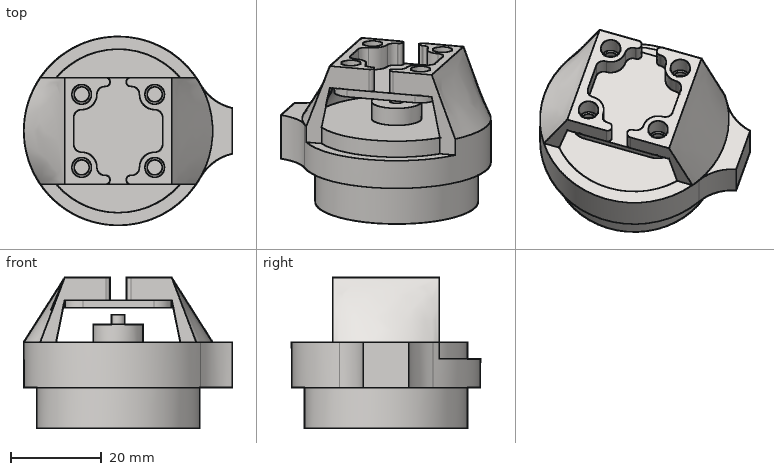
import cadquery as cq
import math

can_radius = 36.0 / 2
can_height = 19.0
pilot_diameter = 11.0
pilot_height = 3.9
shaft_diameter = 3.0
shaft_height = 2.1

collar_outer_radius = 41.6 / 2
collar_bottom = 9.0
collar_top = can_height
notch_floor = 15.35

tab_reach = 45.9 - collar_outer_radius
tab_half_width = 5.05
tab_root_x = 18.1

bridge_size = 23.5
bridge_half = bridge_size / 2
bridge_top = 33.25
bridge_underside = 28.25

screw_offset = 8.05
screw_clearance_diameter = 4.3
boss_radius = 3.35
opening_fillet = 1.75
opening_half = screw_offset + opening_fillet
gap_half = 1.8

plate_thickness = 1.7
plate_corner_radius = 3.95
plate_hole_diameter = 3.3

screw_points = [(sx * screw_offset, sy * screw_offset) for sx in (-1, 1) for sy in (-1, 1)]


def make_motor():
    """Can, pilot boss and shaft stacked along one axis."""
    can = cq.Workplane("XY").circle(can_radius).extrude(can_height)
    pilot = can.faces(">Z").workplane().circle(pilot_diameter / 2).extrude(pilot_height)
    return pilot.faces(">Z").workplane().circle(shaft_diameter / 2).extrude(shaft_height)


def flare_sagitta(root_y):
    """Bulge of the arc that leaves the collar circle along its tangent."""
    run = tab_reach - tab_root_x
    drop = root_y - tab_half_width
    tangent_angle = math.atan2(tab_root_x, root_y) - math.atan2(drop, run)
    return math.hypot(run, drop) / 2 * math.tan(tangent_angle / 2)


def make_tab():
    """Tab whose sides flare into the collar with arcs tangent to its outer circle."""
    root_y = math.sqrt(collar_outer_radius**2 - tab_root_x**2)
    sagitta = flare_sagitta(root_y)
    return (
        cq.Workplane("XY", origin=(0, 0, collar_bottom))
        .moveTo(0, -root_y)
        .lineTo(tab_root_x, -root_y)
        .sagittaArc((tab_reach, -tab_half_width), sagitta)
        .lineTo(tab_reach, tab_half_width)
        .sagittaArc((tab_root_x, root_y), sagitta)
        .lineTo(0, root_y)
        .close()
        .extrude(collar_top - collar_bottom)
    )


def make_collar():
    """Ring and tab, lowered on the +Y side beyond the bridge."""
    height = collar_top - collar_bottom
    ring = cq.Workplane("XY", origin=(0, 0, collar_bottom)).circle(collar_outer_radius).extrude(height)
    bore = cq.Workplane("XY").circle(can_radius).extrude(collar_top)
    notch = cq.Workplane("XY", origin=(0, bridge_half, notch_floor)).box(
        2 * collar_outer_radius, collar_outer_radius, collar_top - notch_floor, centered=(True, False, False)
    )
    return ring.union(make_tab()).cut(bore).cut(notch)


def tapered_block(base_radius, top_height):
    """Ruled block from a circle with flat front and back up to the bridge square."""
    side_x = math.sqrt(base_radius**2 - bridge_half**2)
    return (
        cq.Workplane("XY", origin=(0, 0, collar_top))
        .moveTo(-side_x, -bridge_half)
        .lineTo(side_x, -bridge_half)
        .threePointArc((base_radius, 0), (side_x, bridge_half))
        .lineTo(-side_x, bridge_half)
        .threePointArc((-base_radius, 0), (-side_x, -bridge_half))
        .close()
        .workplane(offset=top_height - collar_top)
        .rect(bridge_size, bridge_size)
        .loft(ruled=True)
    )


def make_opening_quarter():
    """Quarter of the bridge opening, curving around one screw boss to a rounded lip."""
    diagonal = math.sqrt(0.5)
    inner_tangent = screw_offset - boss_radius
    fillet_center = inner_tangent - opening_fillet
    lip_radius = (bridge_half - opening_half) / 2
    lip_center = gap_half + lip_radius
    near_fillet = fillet_center + opening_fillet * diagonal
    far_fillet = screw_offset + opening_fillet * diagonal
    boss_near = screw_offset - boss_radius * diagonal
    return (
        cq.Workplane("XY", origin=(0, 0, bridge_underside))
        .lineTo(opening_half, 0)
        .lineTo(opening_half, fillet_center)
        .threePointArc((far_fillet, near_fillet), (screw_offset, inner_tangent))
        .threePointArc((boss_near, boss_near), (inner_tangent, screw_offset))
        .threePointArc((near_fillet, far_fillet), (fillet_center, opening_half))
        .lineTo(lip_center, opening_half)
        .threePointArc((gap_half, opening_half + lip_radius), (lip_center, bridge_half))
        .lineTo(0, bridge_half)
        .close()
        .extrude(bridge_top - bridge_underside)
    )


def make_bridge():
    """Two tapered legs carrying the slab with the opening and screw holes."""
    space_below = tapered_block(can_radius, bridge_underside)
    bridge = tapered_block(collar_outer_radius, bridge_top).cut(space_below)
    quarter = make_opening_quarter()
    half = quarter.union(quarter.mirror("YZ"))
    screw_holes = (
        cq.Workplane("XY", origin=(0, 0, bridge_underside))
        .pushPoints(screw_points)
        .circle(screw_clearance_diameter / 2)
        .extrude(bridge_top - bridge_underside)
    )
    return bridge.cut(half).cut(half.mirror("XZ")).cut(screw_holes)


def make_housing():
    """Collar and bridge as one solid."""
    return make_collar().union(make_bridge())


def make_plate():
    """Rounded square plate against the underside of the bridge slab."""
    return (
        cq.Workplane("XY", origin=(0, 0, bridge_underside - plate_thickness))
        .rect(bridge_size, bridge_size)
        .extrude(plate_thickness)
        .edges("|Z")
        .fillet(plate_corner_radius)
        .faces(">Z")
        .workplane(origin=(0, 0, bridge_underside))
        .pushPoints(screw_points)
        .hole(plate_hole_diameter)
    )


motor = make_motor()
housing = make_housing()
plate = make_plate()

result = cq.Compound.makeCompound([motor.val(), housing.val(), plate.val()])